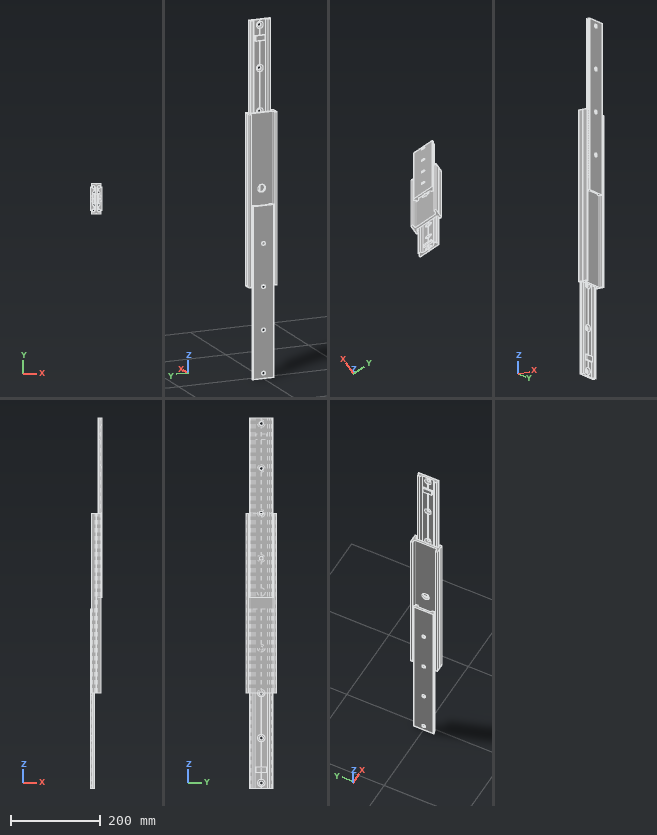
import cadquery as cq

member_length = 400.0
travel = 212.5

middle_thickness = 22.0
middle_width = 68.0
web_thickness = 5.5
flange_thickness = 5.5
web_fillet = 3.0
access_hole_diameter = 18.0
access_hole_z = 25.0

marking_groove_width = 2.0
marking_groove_depth = 1.0

overall_thickness = 26.0
rail_width = 52.0
rail_outer_x = overall_thickness / 2
rail_inner_x = 4.0
rail_floor_x = 8.0
rail_lip_width = 49.0
race_start_x = 8.7
race_bottom_x = 6.9
race_bottom_width = 46.0
edge_chamfer_x = 0.5
edge_chamfer_y = 1.5
channel_mouth_width = 37.2
channel_floor_width = 27.4

hole_diameter = 8.5
countersink_diameter = 16.5
countersink_angle = 90.0
hole_count = 4
hole_pitch = 100.0
first_hole_offset = 12.5

stop_width = 22.4
stop_length = 12.5
stop_offset = 36.0
stop_top_x = 4.5


def build_middle():
    """I-section with an access hole through the web and a marking groove along each flange."""
    channel_depth = (middle_thickness - web_thickness) / 2
    channel_width = middle_width - 2 * flange_thickness
    body = cq.Workplane("XY").box(middle_thickness, middle_width, member_length)
    for side in (-1, 1):
        channel_x = side * (middle_thickness - channel_depth) / 2
        channel = (
            cq.Workplane("XY")
            .box(channel_depth, channel_width, member_length)
            .edges("|Z and " + ("<X" if side > 0 else ">X"))
            .fillet(web_fillet)
            .translate((channel_x, 0, 0))
        )
        body = body.cut(channel)
    access_hole = (
        cq.Workplane("YZ")
        .center(0, access_hole_z)
        .circle(access_hole_diameter / 2)
        .extrude(web_thickness, both=True)
    )
    body = body.cut(access_hole)
    half_groove = marking_groove_width / 2
    for side in (-1, 1):
        face_y = side * middle_width / 2
        groove = (
            cq.Workplane("XY")
            .polyline([
                (-half_groove, face_y),
                (0, face_y - side * marking_groove_depth),
                (half_groove, face_y),
            ])
            .close()
            .extrude(member_length / 2, both=True)
        )
        body = body.cut(groove)
    return body


def build_upper_rail():
    """Rail on the +X side, pulled out upward, with its channel facing the web."""
    top_z = travel + member_length / 2
    half_width = rail_width / 2
    half_outer_face = half_width - edge_chamfer_y
    half_lip = rail_lip_width / 2
    half_race = race_bottom_width / 2
    half_mouth = channel_mouth_width / 2
    half_floor = channel_floor_width / 2
    half_groove = marking_groove_width / 2
    rail = (
        cq.Workplane("XY")
        .workplane(offset=top_z - member_length)
        .moveTo(rail_outer_x, -half_outer_face)
        .lineTo(rail_outer_x, half_outer_face)
        .lineTo(rail_outer_x - edge_chamfer_x, half_width)
        .lineTo(race_start_x, half_width)
        .threePointArc((race_bottom_x, half_race), (rail_inner_x, half_lip))
        .lineTo(rail_inner_x, half_mouth)
        .lineTo(rail_floor_x, half_floor)
        .lineTo(rail_floor_x, half_groove)
        .lineTo(rail_floor_x + marking_groove_depth, 0)
        .lineTo(rail_floor_x, -half_groove)
        .lineTo(rail_floor_x, -half_floor)
        .lineTo(rail_inner_x, -half_mouth)
        .lineTo(rail_inner_x, -half_lip)
        .threePointArc((race_bottom_x, -half_race), (race_start_x, -half_width))
        .lineTo(rail_outer_x - edge_chamfer_x, -half_width)
        .close()
        .extrude(member_length)
    )

    first_hole_z = top_z - first_hole_offset
    hole_points = [(0, first_hole_z - i * hole_pitch) for i in range(hole_count)]
    floor_plane = cq.Plane(origin=(rail_floor_x, 0, 0), xDir=(0, -1, 0), normal=(-1, 0, 0))
    rail = (
        rail.copyWorkplane(cq.Workplane(floor_plane))
        .pushPoints(hole_points)
        .cskHole(hole_diameter, countersink_diameter, countersink_angle)
    )

    stop_height = rail_floor_x - stop_top_x
    stop = (
        cq.Workplane(floor_plane)
        .center(0, top_z - stop_offset - stop_length / 2)
        .rect(stop_width, stop_length)
        .extrude(stop_height)
    )
    return rail.union(stop)


middle = build_middle()
upper_rail = build_upper_rail()
lower_rail = upper_rail.rotate((0, 0, 0), (0, 1, 0), 180)

result = cq.Compound.makeCompound([middle.val(), upper_rail.val(), lower_rail.val()])